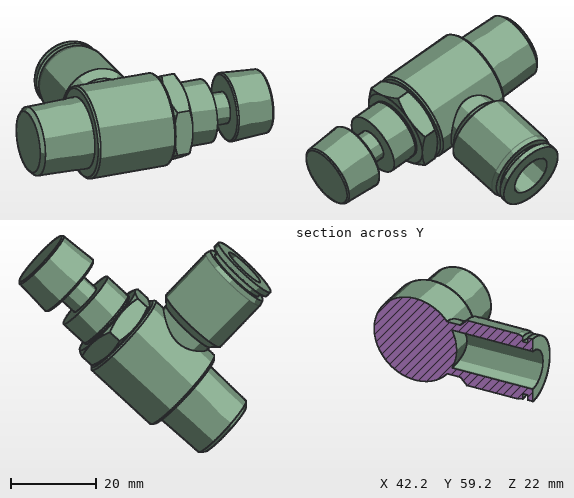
import cadquery as cq

PLUG_TIP_CHAMFER = 0.95
BODY_START = 13.3
BODY_END = 33.05
HEX_END = 37.75
COLLAR_START = 38.25
COLLAR_END = 44.8
KNOB_START = 49.65
KNOB_END = 59.2

BODY_DIAMETER = 22.0
PLUG_TIP_DIAMETER = 14.5
PLUG_SMALL_DIAMETER = 16.4
PLUG_LARGE_DIAMETER = 17.05
COLLAR_DIAMETER = 15.15
COLLAR_BASE_DIAMETER = 15.05
STEM_DIAMETER = 7.6
KNOB_LARGE_DIAMETER = 16.4
KNOB_SMALL_DIAMETER = 15.2
BODY_CHAMFER = 0.5
KNOB_CHAMFER = 0.35

HEX_ACROSS_FLATS = 19.0
HEX_BEVEL_DIAMETER = 19.0
HEX_BEVEL_LENGTH = 0.8

OVERALL_WIDTH = 42.2
BRANCH_REACH = OVERALL_WIDTH - BODY_DIAMETER / 2
BRANCH_Y = 23.1
RING_LENGTH = 1.35
SLEEVE_START = 2.65
SLEEVE_LEAD_LENGTH = 1.25
SLEEVE_TAPER_START = 17.5
RING_DIAMETER = 16.8
NECK_DIAMETER = 14.1
SLEEVE_DIAMETER = 17.6
SLEEVE_LEAD_DIAMETER = 16.8
SLEEVE_TAPER_LENGTH = (SLEEVE_DIAMETER - NECK_DIAMETER) / 2
BORE_DIAMETER = 10.0


def revolve_profile(stations):
    """Revolve (position, diameter) stations into a solid about the Y axis."""
    outline = [(0, stations[0][0])]
    outline += [(diameter / 2, position) for position, diameter in stations]
    outline.append((0, stations[-1][0]))
    return cq.Workplane("XY").polyline(outline).close().revolve(360, (0, 0, 0), (0, 1, 0))


def make_main_column():
    body_edge_diameter = BODY_DIAMETER - 2 * BODY_CHAMFER
    return revolve_profile([
        (0, PLUG_TIP_DIAMETER),
        (PLUG_TIP_CHAMFER, PLUG_SMALL_DIAMETER),
        (BODY_START, PLUG_LARGE_DIAMETER),
        (BODY_START, body_edge_diameter),
        (BODY_START + BODY_CHAMFER, BODY_DIAMETER),
        (BODY_END - BODY_CHAMFER, BODY_DIAMETER),
        (BODY_END, body_edge_diameter),
        (BODY_END, COLLAR_BASE_DIAMETER),
        (COLLAR_START, COLLAR_BASE_DIAMETER),
        (COLLAR_START, COLLAR_DIAMETER),
        (COLLAR_END, COLLAR_DIAMETER),
        (COLLAR_END, STEM_DIAMETER),
        (KNOB_START, STEM_DIAMETER),
        (KNOB_START, KNOB_LARGE_DIAMETER - 2 * KNOB_CHAMFER),
        (KNOB_START + KNOB_CHAMFER, KNOB_LARGE_DIAMETER),
        (KNOB_END - KNOB_CHAMFER, KNOB_SMALL_DIAMETER),
        (KNOB_END, KNOB_SMALL_DIAMETER - 2 * KNOB_CHAMFER),
    ])


def make_hex_nut():
    """Hexagon with both ends bevelled by intersecting it with a double-tapered disc."""
    hexagon = (
        cq.Workplane("XZ", origin=(0, BODY_END, 0))
        .polygon(6, HEX_ACROSS_FLATS, circumscribed=True)
        .extrude(BODY_END - HEX_END)
    )
    bevelled_disc = revolve_profile([
        (BODY_END, HEX_BEVEL_DIAMETER),
        (BODY_END + HEX_BEVEL_LENGTH, BODY_DIAMETER),
        (HEX_END - HEX_BEVEL_LENGTH, BODY_DIAMETER),
        (HEX_END, HEX_BEVEL_DIAMETER),
    ])
    return hexagon.intersect(bevelled_disc)


def place_on_branch(solid):
    """Turn a solid built along +Y so that it starts at the branch's open end and runs along +X."""
    return solid.rotate((0, 0, 0), (0, 0, 1), -90).translate((-BRANCH_REACH, BRANCH_Y, 0))


def make_branch():
    """Branch bored along its whole length, to be closed off by the cylindrical wall of the body."""
    branch = revolve_profile([
        (0, RING_DIAMETER),
        (RING_LENGTH, RING_DIAMETER),
        (RING_LENGTH, NECK_DIAMETER),
        (SLEEVE_START, NECK_DIAMETER),
        (SLEEVE_START, SLEEVE_LEAD_DIAMETER),
        (SLEEVE_START + SLEEVE_LEAD_LENGTH, SLEEVE_DIAMETER),
        (SLEEVE_TAPER_START, SLEEVE_DIAMETER),
        (SLEEVE_TAPER_START + SLEEVE_TAPER_LENGTH, NECK_DIAMETER),
        (BRANCH_REACH, NECK_DIAMETER),
    ])
    bore = revolve_profile([(0, BORE_DIAMETER), (BRANCH_REACH, BORE_DIAMETER)])
    return place_on_branch(branch.cut(bore))


result = make_main_column().union(make_hex_nut()).union(make_branch())